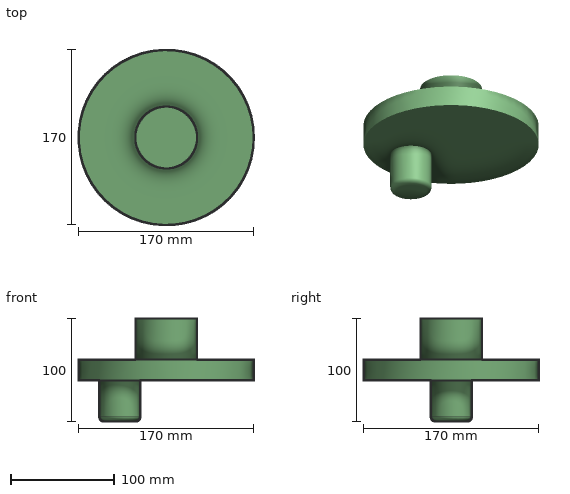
import cadquery as cq

disc_diameter = 170.0
disc_thickness = 20.0
shaft_diameter = 60.0
shaft_length = 40.0
pin_diameter = 40.0
pin_length = 40.0
pin_offset = 45.0
pin_tip_fillet = 5.0

disc = cq.Workplane("XY").circle(disc_diameter / 2).extrude(disc_thickness)

shaft = (
    cq.Workplane("XY")
    .workplane(offset=disc_thickness)
    .circle(shaft_diameter / 2)
    .extrude(shaft_length)
)

pin = (
    cq.Workplane("XY")
    .center(-pin_offset, 0)
    .circle(pin_diameter / 2)
    .extrude(-pin_length)
    .faces("<Z")
    .edges()
    .fillet(pin_tip_fillet)
)

result = disc.union(shaft).union(pin)